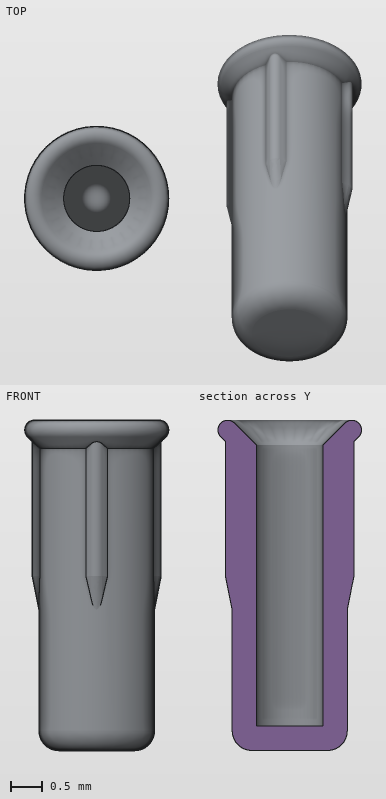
import cadquery as cq
import math

height = 5.23
body_radius = 0.915
bottom_fillet = 0.32

rim_radius = 1.14
rim_round = 0.155

bore_radius = 0.525
floor_thickness = body_radius - bore_radius

rib_count = 4
rib_crest = 1.02
rib_round = 0.12
rib_root = 0.785
rib_taper_top = 2.755
rib_taper_length = 0.525
rib_taper_run = 0.105

diagonal = math.sqrt(0.5)


def make_sleeve():
    """Revolve the body, rolled rim, funnel and bore."""
    round_center_r = rim_radius - rim_round
    round_center_z = height - rim_round
    tangent_offset = rim_round * diagonal
    funnel_r = round_center_r - tangent_offset
    funnel_z = round_center_z + tangent_offset
    under_r = round_center_r + tangent_offset
    under_z = round_center_z - tangent_offset
    neck_z = under_z - (under_r - body_radius)
    bore_top_z = funnel_z - (funnel_r - bore_radius)
    corner_r = body_radius - bottom_fillet

    return (
        cq.Workplane("XZ")
        .lineTo(corner_r, 0)
        .threePointArc(
            (corner_r + bottom_fillet * diagonal, bottom_fillet * (1 - diagonal)),
            (body_radius, bottom_fillet),
        )
        .lineTo(body_radius, neck_z)
        .lineTo(under_r, under_z)
        .threePointArc(
            (rim_radius, round_center_z),
            (funnel_r, funnel_z),
        )
        .lineTo(bore_radius, bore_top_z)
        .lineTo(bore_radius, floor_thickness)
        .lineTo(0, floor_thickness)
        .close()
        .revolve(360, (0, 0, 0), (0, 1, 0))
    )


def rib_section(plane, crest):
    """Draw one rib cross-section pointing along +X."""
    half_crest = rib_round * diagonal
    tangent_x = crest - rib_round * (1 - diagonal)
    half_root = half_crest + tangent_x - rib_root
    return (
        plane.moveTo(rib_root, -half_root)
        .lineTo(tangent_x, -half_crest)
        .threePointArc((crest, 0), (tangent_x, half_crest))
        .lineTo(rib_root, half_root)
        .close()
    )


def make_rib():
    """Straight rib up into the rim, with its lower end sinking into the body."""
    rib_top = height - 2 * rim_round
    straight = rib_section(cq.Workplane("XY", origin=(0, 0, rib_taper_top)), rib_crest)
    straight = straight.extrude(rib_top - rib_taper_top)
    taper = rib_section(cq.Workplane("XY", origin=(0, 0, rib_taper_top)), rib_crest)
    taper = taper.workplane(offset=-rib_taper_length)
    taper = rib_section(taper, rib_crest - rib_taper_run).loft(ruled=True)
    return straight.union(taper)


result = make_sleeve()
rib = make_rib()
for index in range(rib_count):
    angle = index * 360 / rib_count
    result = result.union(rib.rotate((0, 0, 0), (0, 0, 1), angle))